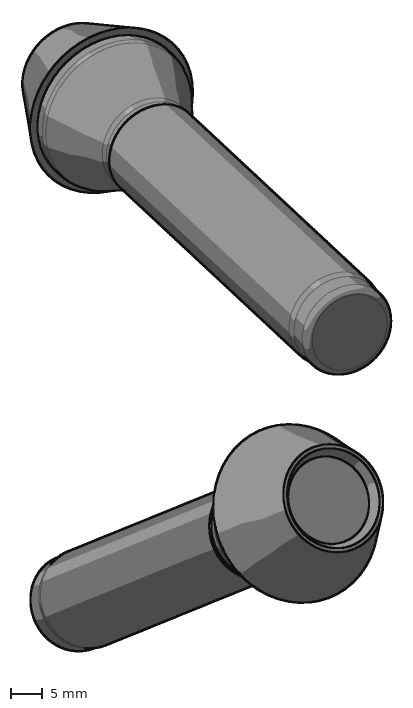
import cadquery as cq

length = 100.0
nose_length = 14.4

nose_front_diameter = 17.3
nose_rear_diameter = 28.6
recess_mouth_diameter = 16.0
recess_floor_diameter = 14.0
recess_depth = 1.8

collar_diameter = 26.0
shank_diameter = 16.0
neck_diameter = 15.5
shoulder_start = 16.6
shoulder_end = 27.9
shoulder_edge_radius = 2.0
neck_fillet_radius = 2.5
neck_end = 29.6
shank_start = 29.9
shank_end = 94.6
tip_start = 95.8
tip_fillet_radius = 1.2

match_tolerance = 0.01


def revolve_about_x(outline):
    """Revolve a closed outline, drawn as (x, radius), about the X axis."""
    return outline.revolve(360, (0, 0, 0), (1, 0, 0))


def make_nose():
    """Cone widening away from its front face, with a flat back against the collar."""
    outline = cq.Workplane("XY").polyline([
        (recess_depth, 0),
        (recess_depth, recess_floor_diameter / 2),
        (0, recess_mouth_diameter / 2),
        (0, nose_front_diameter / 2),
        (nose_length, nose_rear_diameter / 2),
        (nose_length, 0),
    ]).close()
    return revolve_about_x(outline)


def round_edge(body, x, diameter, radius):
    """Fillet the circular edge of the given diameter at position x."""
    circle = [
        edge for edge in body.edges("%CIRCLE").vals()
        if abs(edge.arcCenter().x - x) < match_tolerance
        and abs(edge.radius() - diameter / 2) < match_tolerance
    ]
    return body.newObject(circle).fillet(radius)


def make_shaft():
    """Collar, shoulder, neck, shank and tip as one turned body."""
    outline = cq.Workplane("XY").polyline([
        (nose_length, 0),
        (nose_length, collar_diameter / 2),
        (shoulder_start, collar_diameter / 2),
        (shoulder_end, neck_diameter / 2),
        (neck_end, neck_diameter / 2),
        (shank_start, shank_diameter / 2),
        (shank_end, shank_diameter / 2),
        (tip_start, neck_diameter / 2),
        (length, neck_diameter / 2),
        (length, 0),
    ]).close()
    shaft = revolve_about_x(outline)
    shaft = round_edge(shaft, shoulder_start, collar_diameter, shoulder_edge_radius)
    shaft = round_edge(shaft, shoulder_end, neck_diameter, neck_fillet_radius)
    return round_edge(shaft, length, neck_diameter, tip_fillet_radius)


nose = make_nose()
shaft = make_shaft()

result = cq.Compound.makeCompound([nose.val(), shaft.val()])